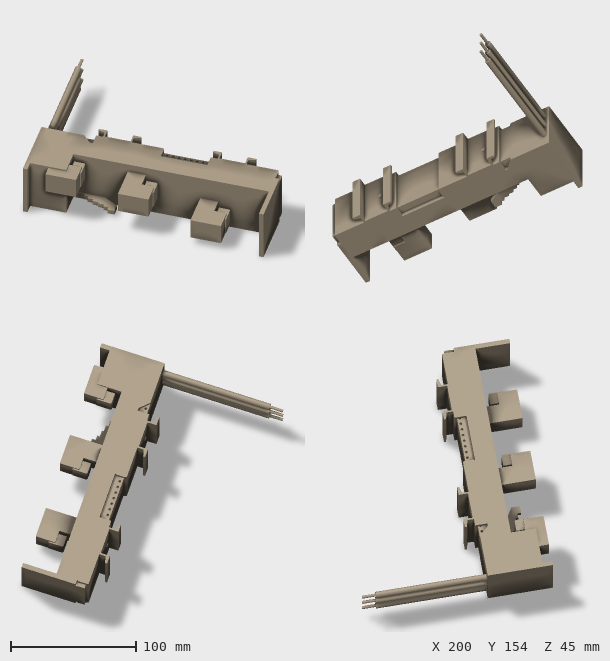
import cadquery as cq

LENGTH = 200.0
HEIGHT = 45.0
HOUSING_BACK = 53.0
BEAM_FRONT = 28.2
END_WALL = 3.8
BLOCK_FRONT = 8.0
BLOCK_RIGHT = 33.8

STRIP_FRONT = 45.5
STRIP_DROP = 3.0
STRIP_LEFT_BACK = 35.5
STRIP_LEFT_FRONT = 42.5
GROOVE_WIDTH = 1.5
GROOVE_DEPTH = 1.0
HOLE_DIAMETER = 2.2
HOLE_PITCH = 5.0
HOLE_COUNT = 31
FIRST_HOLE_X = 40.2
HOLE_Y = 50.8
HOLE_DEPTH = 3.0
HOLE_TIP = 0.8

HOOK_WIDTH = 25.5
HOOK_HEIGHT = 18.0
HOOK_FOOT_BACK = 16.5
FIRST_HOOK_X = 18.8
HOOK_PITCH = 60.2
HOOK_BOTTOMS = (25.5, 19.5, 6.2)
HOOK_COLUMN = BLOCK_RIGHT - FIRST_HOOK_X

TONGUE_GAP = 2.0
TONGUE_BACK = 23.5
TONGUE_LAP_FRONT = 11.0
TONGUE_OVERHANG = 1.0
TONGUE_INSET = 1.8
TONGUE_ROUNDING = 1.5

LATCH_BOTTOM = 2.2
LATCH_THICKNESS = 3.8
LATCH_ROOT_FRONT = 27.5
LATCH_TIP_BACK = 21.2
LATCH_TIP_X = 72.0
LATCH_SLOPE_X = 60.0
LATCH_TEETH = (
    (43.5, 25.5),
    (47.0, 23.2),
    (51.5, 21.0),
    (56.8, 19.5),
    (62.0, 17.2),
    (66.0, 14.2),
)

CARRIER_X = (44.8, 140.0)
CARRIER_LENGTH = 56.8
CARRIER_BACK = 55.2
CARRIER_CHAMFER_X = 0.5
CARRIER_CHAMFER_Y = 1.5
WEB_BACK = 56.0
RAIL_LENGTH = 35.5
RAIL_BACK = 63.5
LIP_REACH = 5.5
LIP_TIP = 1.5
LIP_ROOT = 3.2
LEG_THICKNESS = 1.5

SCREW_DIAMETER = 4.0
SCREW_HEAD = 0.8
SCREW_OFFSET = 13.5

WIRE_X = 4.2
WIRE_PITCH = 10.5
SHEATH_DIAMETER = 5.0
SHEATH_END = 143.0
CORE_DIAMETER = 2.5
CORE_END = 154.0


def prism(points, bottom, height):
    """Closed XY outline raised along Z."""
    return cq.Workplane("XY").workplane(offset=bottom).polyline(points).close().extrude(height)


def rod(x, z, diameter, start, end):
    """Round rod along Y."""
    plane = cq.Workplane("XZ", origin=(x, start, z))
    return plane.circle(diameter / 2).extrude(start - end)


def make_hook(x, bottom):
    """L-shaped hook with its contact tongue."""
    column_right = x + HOOK_COLUMN
    right = x + HOOK_WIDTH
    hook = prism(
        [
            (x, 0),
            (right, 0),
            (right, HOOK_FOOT_BACK),
            (column_right, HOOK_FOOT_BACK),
            (column_right, BEAM_FRONT),
            (x, BEAM_FRONT),
        ],
        bottom,
        HOOK_HEIGHT,
    )
    tongue_left = column_right + TONGUE_GAP
    tongue_right = right + TONGUE_OVERHANG
    tongue = prism(
        [
            (tongue_left, HOOK_FOOT_BACK),
            (right, HOOK_FOOT_BACK),
            (right, TONGUE_LAP_FRONT),
            (tongue_right, TONGUE_LAP_FRONT),
            (tongue_right, TONGUE_BACK),
            (tongue_left, TONGUE_BACK),
        ],
        bottom + TONGUE_INSET,
        HOOK_HEIGHT - 2 * TONGUE_INSET,
    )
    rear_right = cq.selectors.DirectionMinMaxSelector(cq.Vector(1, 1, 0), True)
    tongue = tongue.edges("|Z").edges(rear_right).fillet(TONGUE_ROUNDING)
    return hook.union(tongue)


def make_latch():
    """Flat latch with stepped teeth along its front side."""
    points = [(BLOCK_RIGHT, BEAM_FRONT), (BLOCK_RIGHT, LATCH_ROOT_FRONT)]
    face_y = LATCH_ROOT_FRONT
    for step_x, next_y in LATCH_TEETH:
        points += [(step_x, face_y), (step_x, next_y)]
        face_y = next_y
    points += [(LATCH_TIP_X, face_y), (LATCH_TIP_X, LATCH_TIP_BACK), (LATCH_SLOPE_X, BEAM_FRONT)]
    return prism(points, LATCH_BOTTOM, LATCH_THICKNESS)


def make_hole(x):
    """Blind hole with a conical bottom, sunk into the top of the strip."""
    top = HEIGHT - STRIP_DROP
    radius = HOLE_DIAMETER / 2
    profile = [(0, 0), (radius, 0), (radius, -HOLE_DEPTH), (0, -HOLE_DEPTH - HOLE_TIP)]
    plane = cq.Workplane("XZ", origin=(x, HOLE_Y, top))
    return plane.polyline(profile).close().revolve(360, (0, 0, 0), (0, 1, 0))


def make_housing():
    inner_right = LENGTH - END_WALL
    body = prism(
        [
            (0, 0),
            (END_WALL, 0),
            (END_WALL, BLOCK_FRONT),
            (BLOCK_RIGHT, BLOCK_FRONT),
            (BLOCK_RIGHT, BEAM_FRONT),
            (inner_right, BEAM_FRONT),
            (inner_right, 0),
            (LENGTH, 0),
            (LENGTH, HOUSING_BACK),
            (0, HOUSING_BACK),
        ],
        0,
        HEIGHT,
    )
    for index, bottom in enumerate(HOOK_BOTTOMS):
        body = body.union(make_hook(FIRST_HOOK_X + index * HOOK_PITCH, bottom))
    body = body.union(make_latch())

    step_outline = [
        (STRIP_LEFT_FRONT, STRIP_FRONT),
        (LENGTH, STRIP_FRONT),
        (LENGTH, HOUSING_BACK),
        (STRIP_LEFT_BACK, HOUSING_BACK),
    ]
    groove_outline = [
        (STRIP_LEFT_FRONT, STRIP_FRONT),
        (LENGTH, STRIP_FRONT),
        (LENGTH, STRIP_FRONT + GROOVE_WIDTH),
        (STRIP_LEFT_FRONT, STRIP_FRONT + GROOVE_WIDTH),
    ]
    groove_floor = STRIP_DROP + GROOVE_DEPTH
    for outline, depth in ((step_outline, STRIP_DROP), (groove_outline, groove_floor)):
        body = body.cut(prism(outline, 0, depth))
        body = body.cut(prism(outline, HEIGHT - depth, depth))

    for index in range(HOLE_COUNT):
        body = body.cut(make_hole(FIRST_HOLE_X + index * HOLE_PITCH))
    return body


def make_carrier(left):
    """Carrier that grips the strip and has two rail lips at the rear."""
    right = left + CARRIER_LENGTH
    rail_right = left + RAIL_LENGTH
    left_leg = left + LIP_REACH
    right_leg = rail_right - LIP_REACH
    outline = [
        (left, STRIP_FRONT),
        (right - CARRIER_CHAMFER_X, STRIP_FRONT),
        (right, STRIP_FRONT + CARRIER_CHAMFER_Y),
        (right, CARRIER_BACK - CARRIER_CHAMFER_Y),
        (right - CARRIER_CHAMFER_X, CARRIER_BACK),
        (right_leg, CARRIER_BACK),
        (right_leg, RAIL_BACK - LIP_ROOT),
        (rail_right, RAIL_BACK - LIP_TIP),
        (rail_right, RAIL_BACK),
        (right_leg - LEG_THICKNESS, RAIL_BACK),
        (right_leg - LEG_THICKNESS, WEB_BACK),
        (left_leg + LEG_THICKNESS, WEB_BACK),
        (left_leg + LEG_THICKNESS, RAIL_BACK),
        (left, RAIL_BACK),
        (left, RAIL_BACK - LIP_TIP),
        (left_leg, RAIL_BACK - LIP_ROOT),
        (left_leg, CARRIER_BACK),
        (left, CARRIER_BACK),
    ]
    strip_slot = cq.Workplane("XY").box(
        CARRIER_LENGTH,
        HOUSING_BACK - STRIP_FRONT,
        HEIGHT - 2 * STRIP_DROP,
        centered=False,
    ).translate((left, STRIP_FRONT, STRIP_DROP))
    return prism(outline, 0, HEIGHT).cut(strip_slot)


def make_screw(carrier_left):
    """Low round screw head on the floor between the rail legs."""
    x = carrier_left + SCREW_OFFSET
    return rod(x, HEIGHT / 2, SCREW_DIAMETER, WEB_BACK, WEB_BACK + SCREW_HEAD)


def make_wire(z):
    """Sheathed wire with a bare core at its free end."""
    sheath = rod(WIRE_X, z, SHEATH_DIAMETER, HOUSING_BACK, SHEATH_END)
    core = rod(WIRE_X, z, CORE_DIAMETER, SHEATH_END, CORE_END)
    return sheath.union(core)


housing = make_housing()
carriers = [make_carrier(left) for left in CARRIER_X]
screws = [make_screw(left) for left in CARRIER_X]
wires = [make_wire(HEIGHT / 2 + step * WIRE_PITCH) for step in (-1, 0, 1)]

fitted_parts = carriers + screws + wires
result = cq.Compound.makeCompound([housing.val(), *[part.val() for part in fitted_parts]])